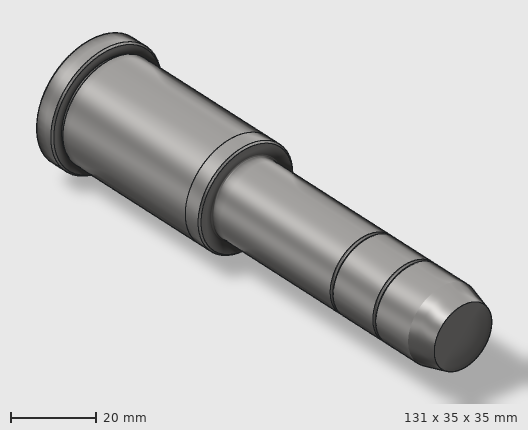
import cadquery as cq
import math


total_length = 131.0
head_length = 6.0
shoulder_end = 55.0
lead_length = 5.0
taper_length = 7.0

head_diameter = 35.0
shoulder_diameter = 30.0
lead_diameter = 29.99
pin_diameter = 22.0

head_chamfer = 0.5
shoulder_chamfer = 0.5
pin_root_radius = 0.5
taper_angle = 15.0
undercut_width = 1.0
undercut_depth = 0.5

groove_radius = 0.5
groove_spacing = 15.0
groove_count = 2
first_groove_center = 97.0


def cylinder(start, length, diameter):
    """Solid cylinder along X, beginning at X = start."""
    return cq.Workplane("YZ", origin=(start, 0, 0)).circle(diameter / 2).extrude(length)


def make_head():
    """Round head with both rims chamfered."""
    return cylinder(0, head_length, head_diameter).edges().chamfer(head_chamfer)


def make_shoulder():
    """Fitted shoulder with an undercut behind the head and a relieved, chamfered lead."""
    undercut_end = head_length + undercut_width
    lead_start = shoulder_end - lead_length
    undercut = cylinder(head_length, undercut_width, shoulder_diameter - 2 * undercut_depth)
    body = cylinder(undercut_end, lead_start - undercut_end, shoulder_diameter)
    lead = cylinder(lead_start, lead_length, lead_diameter)
    lead = lead.faces(">X").edges().chamfer(shoulder_chamfer)
    return undercut.union(body).union(lead)


def make_groove_cutter(center):
    """Torus whose tube is centred on the pin surface at X = center."""
    torus = cq.Solid.makeTorus(pin_diameter / 2, groove_radius, cq.Vector(center, 0, 0), cq.Vector(1, 0, 0))
    return cq.Workplane(torus)


def make_pin():
    """Pin with a filleted root, a tapered tip and half-round grooves."""
    radius = pin_diameter / 2
    tip_radius = radius - taper_length * math.tan(math.radians(taper_angle))
    root_offset = pin_root_radius * (1 - math.sqrt(0.5))
    pin = (
        cq.Workplane("XY")
        .moveTo(shoulder_end, 0)
        .lineTo(shoulder_end, radius + pin_root_radius)
        .threePointArc(
            (shoulder_end + root_offset, radius + root_offset),
            (shoulder_end + pin_root_radius, radius),
        )
        .lineTo(total_length - taper_length, radius)
        .lineTo(total_length, tip_radius)
        .lineTo(total_length, 0)
        .close()
        .revolve(360, (0, 0, 0), (1, 0, 0))
    )
    for index in range(groove_count):
        pin = pin.cut(make_groove_cutter(first_groove_center + index * groove_spacing))
    return pin


result = make_head().union(make_shoulder()).union(make_pin())